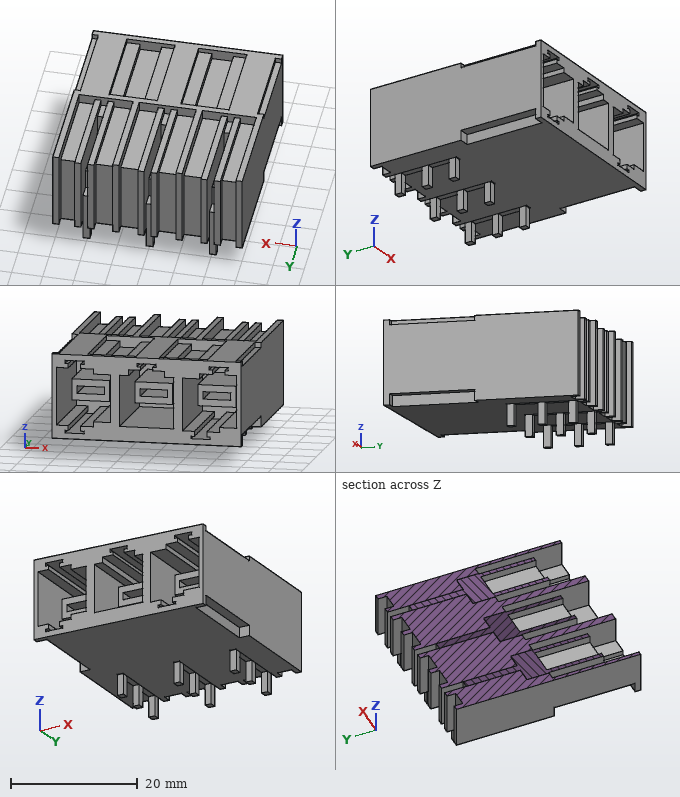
import cadquery as cq

PITCH = 10.16
PORT_CENTRES = [-PITCH, 0.0, PITCH]
WIDTH = 3 * PITCH
LENGTH = 32.0
HEIGHT = 13.6
WALL = 1.0

PORT_DEPTH = 15.0
PORT_HALF = 4.35
LOW_CEILING = 10.65
HIGH_CEILING = 11.45
MIDDLE_CEILING = 11.6
MIDDLE_FLOOR = 2.4
HIGH_FLOOR = 2.95
LOW_FLOOR = 2.15
STEP_OFFSET = 1.6
MIDDLE_STEP_HALF = 2.88

KEYWAY_OFFSET = 1.45
NECK_WIDTH = 2.0
HEAD_WIDTH = 3.1
TOP_HEAD_BASE = 12.15
TOP_HEAD_END = 12.65
BOTTOM_HEAD_BASE = 1.35
BOTTOM_HEAD_END = 0.95

FIN_START = PORT_DEPTH + WALL
SHELF_END = LENGTH - 1.5
SHELF_HEIGHT = 12.0
SLOT_FIN_HEIGHT = 13.0
PLATE_THICKNESS = 1.1

RECESS_START = WALL
RECESS_LENGTH = 14.0
POCKET_CENTRE = 5.77
POCKET_WIDTH = 7.75
POCKET_DEPTH = 0.75
GROOVE_WIDTH = 3.45
GROOVE_DEPTH = 1.75
TOP_NOTCH_HEIGHT = 0.8
BOTTOM_NOTCH_HEIGHT = 1.75
BOTTOM_NOTCH_DEPTH = 1.8

BLADE_TIP = 5.5
BLADE_WIDTH = 6.1
BLADE_HEIGHT = 3.4
BLADE_CENTRE_Z = 6.8
BORE_WIDTH = 4.4
BORE_HEIGHT = 1.2
PLATE_START = LENGTH - 13.2
PLATE_END = LENGTH - 1.7
PLATE_STEP = LENGTH - 3.75
PLATE_TOP = BLADE_CENTRE_Z + BLADE_HEIGHT / 2
PLATE_REAR_TOP = BLADE_CENTRE_Z - BLADE_HEIGHT / 2
TAIL_COUNT = 3
TAIL_PITCH = PITCH / 2
TAIL_LENGTH = 3.5
TAIL_SIZE = 1.2


def block(x_range, y_range, z_range):
    """Box spanning the given ranges along X, Y and Z."""
    corner, far_corner = zip(x_range, y_range, z_range)
    size = [far - near for near, far in zip(corner, far_corner)]
    return cq.Workplane("XY").box(*size, centered=False).translate(corner)


def centred(middle, width):
    """Range of the given width about its middle."""
    return (middle - width / 2, middle + width / 2)


def port_block(x_range, z_range):
    """Part of a port cavity, open at the front face."""
    return block(x_range, (0, PORT_DEPTH), z_range)


def keyway(x, port_edge, head_base, head_end):
    """T-shaped keyway that opens into a port at the height port_edge."""
    neck = port_block(centred(x, NECK_WIDTH), sorted((port_edge, head_base)))
    head = port_block(centred(x, HEAD_WIDTH), sorted((head_base, head_end)))
    return neck.union(head)


def middle_port():
    cavity = port_block((-PORT_HALF, PORT_HALF), (MIDDLE_FLOOR, LOW_CEILING))
    raised = port_block((-MIDDLE_STEP_HALF, MIDDLE_STEP_HALF), (LOW_CEILING, MIDDLE_CEILING))
    return cavity.union(raised).union(keyway(0, MIDDLE_CEILING, TOP_HEAD_BASE, TOP_HEAD_END))


def outer_port(x, side):
    """Port whose high ceiling lies on the given side (-1 left, 1 right); its low floor is always left."""
    left = x - PORT_HALF
    ceiling_range = sorted((x + side * PORT_HALF, x - side * STEP_OFFSET))
    cavity = port_block((left, x + PORT_HALF), (HIGH_FLOOR, LOW_CEILING))
    ceiling = port_block(ceiling_range, (LOW_CEILING, HIGH_CEILING))
    floor = port_block((left, x + STEP_OFFSET), (LOW_FLOOR, HIGH_FLOOR))
    top_key = keyway(x + side * KEYWAY_OFFSET, HIGH_CEILING, TOP_HEAD_BASE, TOP_HEAD_END)
    bottom_key = keyway(x - KEYWAY_OFFSET, LOW_FLOOR, BOTTOM_HEAD_BASE, BOTTOM_HEAD_END)
    return cavity.union(ceiling).union(floor).union(top_key).union(bottom_key)


def channel(x_range):
    """Space between two fins: above the shelf, and full height behind its end."""
    above = block(x_range, (FIN_START, LENGTH), (SHELF_HEIGHT, HEIGHT))
    behind = block(x_range, (SHELF_END, LENGTH), (0, HEIGHT))
    return above.union(behind)


def fin_channels(x):
    """Channels on both sides of the pair of lowered fins that flank a contact slot."""
    pair_half = PLATE_THICKNESS / 2 + WALL
    left_wall = WALL if x == PORT_CENTRES[0] else WALL / 2
    right_wall = WALL if x == PORT_CENTRES[-1] else WALL / 2
    left = channel((x - PITCH / 2 + left_wall, x - pair_half))
    right = channel((x + pair_half, x + PITCH / 2 - right_wall))
    above_fins = block((x - pair_half, x + pair_half), (FIN_START, LENGTH), (SLOT_FIN_HEIGHT, HEIGHT))
    return left.union(right).union(above_fins)


def contact_space(x):
    """Plate slot open at top, bottom and rear, with a blade opening into the port."""
    plate_slot = block(centred(x, PLATE_THICKNESS), (PLATE_START, LENGTH), (0, HEIGHT))
    saddle = block(centred(x, PLATE_THICKNESS), (FIN_START, PLATE_START), (SHELF_HEIGHT, HEIGHT))
    opening = block(
        centred(x, BLADE_WIDTH),
        (PORT_DEPTH, PLATE_START),
        centred(BLADE_CENTRE_Z, BLADE_HEIGHT),
    )
    return plate_slot.union(saddle).union(opening)


def top_pocket(x):
    """Shallow pocket with a deeper groove along its middle."""
    y_range = (RECESS_START, RECESS_START + RECESS_LENGTH)
    pocket = block(centred(x, POCKET_WIDTH), y_range, (HEIGHT - POCKET_DEPTH, HEIGHT))
    groove = block(centred(x, GROOVE_WIDTH), y_range, (HEIGHT - GROOVE_DEPTH, HEIGHT))
    return pocket.union(groove)


def side_notches(side):
    """Notches along the top and bottom edges of one side."""
    face = side * WIDTH / 2
    top_x_range = sorted((face, face - side * WALL))
    bottom_x_range = sorted((face, face - side * BOTTOM_NOTCH_DEPTH))
    y_range = (RECESS_START, RECESS_START + RECESS_LENGTH)
    top = block(top_x_range, y_range, (HEIGHT - TOP_NOTCH_HEIGHT, HEIGHT))
    bottom = block(bottom_x_range, y_range, (0, BOTTOM_NOTCH_HEIGHT))
    return top.union(bottom)


def make_housing():
    body = block(centred(0, WIDTH), (0, LENGTH), (0, HEIGHT))
    body = body.cut(middle_port())
    for side in (-1, 1):
        body = body.cut(outer_port(side * PITCH, side))
        body = body.cut(top_pocket(side * POCKET_CENTRE))
        body = body.cut(side_notches(side))
    for x in PORT_CENTRES:
        body = body.cut(fin_channels(x)).cut(contact_space(x))
    return body


def make_contact(x):
    blade = block(
        centred(x, BLADE_WIDTH),
        (BLADE_TIP, PLATE_START),
        centred(BLADE_CENTRE_Z, BLADE_HEIGHT),
    )
    bore = block(
        centred(x, BORE_WIDTH),
        (BLADE_TIP, PORT_DEPTH),
        centred(BLADE_CENTRE_Z, BORE_HEIGHT),
    )
    thickness = centred(x, PLATE_THICKNESS)
    plate_front = block(thickness, (PLATE_START, PLATE_STEP), (0, PLATE_TOP))
    plate_rear = block(thickness, (PLATE_STEP, PLATE_END), (0, PLATE_REAR_TOP))
    contact = blade.cut(bore).union(plate_front).union(plate_rear)
    for index in range(TAIL_COUNT):
        tail_end = PLATE_END - index * TAIL_PITCH
        contact = contact.union(block(thickness, (tail_end - TAIL_SIZE, tail_end), (-TAIL_LENGTH, 0)))
    return contact


housing = make_housing()
contacts = [make_contact(x) for x in PORT_CENTRES]

result = cq.Compound.makeCompound([housing.val()] + [contact.val() for contact in contacts])